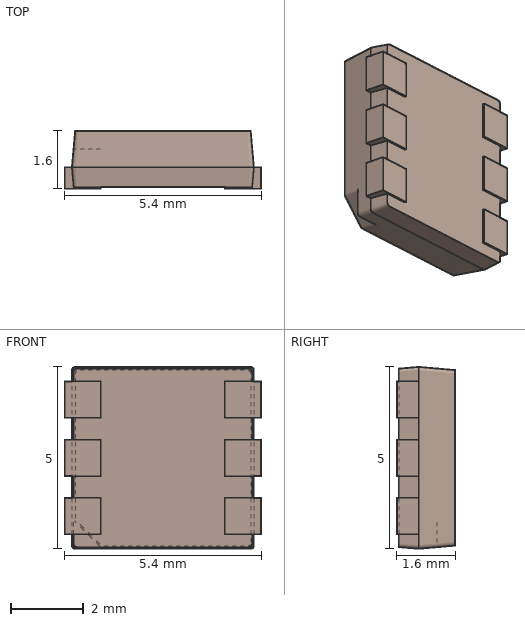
import cadquery as cq
import math

OVERALL_LENGTH = 5.4
BODY_SIZE = 5.0
COVER_DEPTH = 1.0
BASE_DEPTH = 0.55
DRAFT_ANGLE = 5.0
CORNER_RADIUS = 0.1

LEAD_SIZE = 1.0
LEAD_DEPTH = 0.6
LEAD_PITCH = 1.6
LEADS_PER_SIDE = 3

MARK_DEPTH = COVER_DEPTH / 2
MARK_LEG = 0.73
NOTCH_REACH = 1.5 * MARK_LEG

DRAFT_SLOPE = math.tan(math.radians(DRAFT_ANGLE))


def square_outline(size, y):
    """Centred square in the plane at the given Y."""
    half = size / 2
    corners = [(-half, -half), (half, -half), (half, half), (-half, half)]
    return cq.Wire.makePolygon([cq.Vector(x, y, z) for x, z in corners], close=True)


def drafted_block(start_size, start_y, end_y):
    """Square block that narrows by the draft angle from start_y to end_y."""
    end_size = start_size - 2 * abs(end_y - start_y) * DRAFT_SLOPE
    wires = [square_outline(start_size, start_y), square_outline(end_size, end_y)]
    return cq.Workplane(cq.Solid.makeLoft(wires, True))


def round_corners(block):
    """Round the four sloping corner edges, leaving the rims sharp."""
    return block.edges("not(#Y)").fillet(CORNER_RADIUS)


def mark_outline(leg, size, y):
    """Right triangle over the (-X, -Z) corner of a square of the given size."""
    corner = -size / 2
    points = [(corner, corner), (corner + leg, corner), (corner, corner + leg)]
    return cq.Wire.makePolygon([cq.Vector(x, y, z) for x, z in points], close=True)


def bevelled_block(start_size, start_y, end_y):
    """Drafted block whose (-X, -Z) corner is bevelled, the bevel having the same draft."""
    end_size = start_size - 2 * abs(end_y - start_y) * DRAFT_SLOPE
    leg_change = (2 - math.sqrt(2)) * abs(end_y - start_y) * DRAFT_SLOPE
    wires = [
        mark_outline(MARK_LEG + leg_change, start_size, start_y),
        mark_outline(MARK_LEG, end_size, end_y),
    ]
    bevel = cq.Workplane(cq.Solid.makeLoft(wires, True))
    return drafted_block(start_size, start_y, end_y).cut(bevel)


def make_cover():
    """Drafted cover with the polarity bevel in its outer half."""
    plain = round_corners(drafted_block(BODY_SIZE, 0, COVER_DEPTH))
    bevelled = round_corners(bevelled_block(BODY_SIZE, 0, COVER_DEPTH))
    corner = -BODY_SIZE / 2
    notch = (
        cq.Workplane()
        .box(NOTCH_REACH, MARK_DEPTH, NOTCH_REACH, centered=False)
        .translate((corner, COVER_DEPTH - MARK_DEPTH, corner))
        .cut(bevelled)
    )
    return plain.cut(notch)


def make_base():
    """Drafted base carrying the terminals."""
    base = round_corners(drafted_block(BODY_SIZE, 0, -BASE_DEPTH))
    lead_x = (OVERALL_LENGTH - LEAD_SIZE) / 2
    for side in (-1, 1):
        for row in range(LEADS_PER_SIDE):
            lead_z = (row - (LEADS_PER_SIDE - 1) / 2) * LEAD_PITCH
            lead = cq.Workplane().box(LEAD_SIZE, LEAD_DEPTH, LEAD_SIZE)
            base = base.union(lead.translate((side * lead_x, -LEAD_DEPTH / 2, lead_z)))
    return base


cover = make_cover()
base = make_base()
result = cq.Compound.makeCompound([*cover.solids().vals(), *base.solids().vals()])